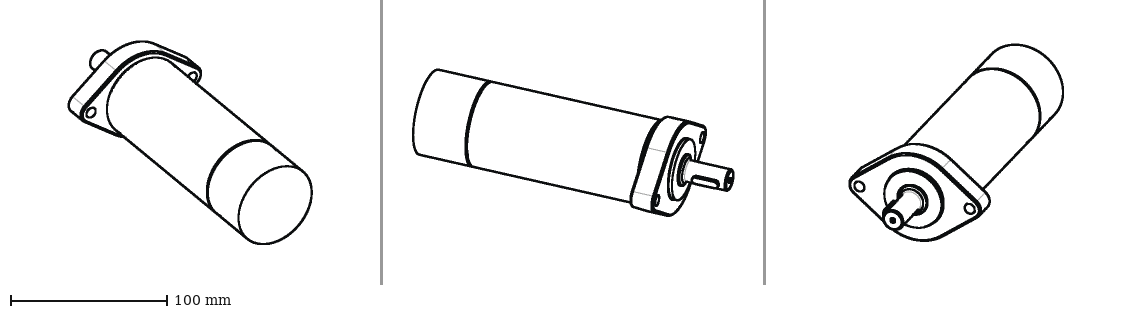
import cadquery as cq
import math

overall_length = 207.3

shaft_radius = 14.0 / 2
shaft_chamfer = 0.8
centre_hole_radius = 1.7
centre_drill_radius = 0.6
centre_drill_depth = 3.1

collar_start = 28.5
collar_fillet = 1.2
collar_step = 30.9
collar_rim_radius = 10.4
collar_radius = 20.0 / 2
pilot_start = 32.0
pilot_radius = 40.0 / 2
pilot_foot_height = 0.5

flange_start = 34.6
flange_thickness = 16.0
flange_height = 62.0
flange_width = 92.0
flange_tip_radius = 7.5
flange_chamfer = 1.0
mount_hole_diameter = 7.0

neck_radius = 50.4 / 2
body_start = 52.9
body_radius = 56.0 / 2
groove_start = 170.0
groove_width = 1.2

key_start = 4.8
key_length = 18.0
key_width = 5.0
key_top = 9.0

flange_end = flange_start + flange_thickness
hole_offset = flange_width / 2 - flange_tip_radius


def cylinder(start, end, radius):
    """Cylinder on the X axis between two stations."""
    return cq.Workplane("YZ", origin=(start, 0, 0)).circle(radius).extrude(end - start)


def make_shaft():
    shaft = cylinder(0, flange_start, shaft_radius).faces("<X").chamfer(shaft_chamfer)
    centre = (
        cq.Workplane("XY")
        .moveTo(0, 0)
        .lineTo(0, centre_hole_radius)
        .lineTo(centre_hole_radius - centre_drill_radius, centre_drill_radius)
        .lineTo(centre_drill_depth, centre_drill_radius)
        .lineTo(centre_drill_depth, 0)
        .close()
        .revolve(360, (0, 0, 0), (1, 0, 0))
    )
    return shaft.cut(centre)


def make_collar_and_pilot():
    """Filleted and tapered collar, pilot disc and flared pilot foot as one turned profile."""
    inner_radius = shaft_radius / 2
    fillet_end = collar_start + collar_fillet
    fillet_mid_x = collar_start + collar_fillet * math.sin(math.pi / 4)
    fillet_mid_radius = shaft_radius + collar_fillet * (1 - math.cos(math.pi / 4))
    return (
        cq.Workplane("XY")
        .moveTo(collar_start, inner_radius)
        .lineTo(collar_start, shaft_radius)
        .threePointArc((fillet_mid_x, fillet_mid_radius), (fillet_end, shaft_radius + collar_fillet))
        .lineTo(collar_step, collar_radius)
        .lineTo(collar_step, collar_rim_radius)
        .lineTo(pilot_start, collar_rim_radius)
        .lineTo(pilot_start, pilot_radius)
        .lineTo(flange_start - pilot_foot_height, pilot_radius)
        .lineTo(flange_start, pilot_radius + pilot_foot_height)
        .lineTo(flange_start, inner_radius)
        .close()
        .revolve(360, (0, 0, 0), (1, 0, 0))
    )


def make_flange():
    """Central disc and two rounded tips joined by tangent straight sides."""
    disc_radius = flange_height / 2
    tangent_angle = math.acos((disc_radius - flange_tip_radius) / hole_offset)
    cos_tangent = math.cos(tangent_angle)
    sin_tangent = math.sin(tangent_angle)
    disc_y = disc_radius * cos_tangent
    disc_z = disc_radius * sin_tangent
    tip_y = hole_offset + flange_tip_radius * cos_tangent
    tip_z = flange_tip_radius * sin_tangent
    flange = (
        cq.Workplane("YZ", origin=(flange_start, 0, 0))
        .moveTo(-disc_y, disc_z)
        .threePointArc((0, disc_radius), (disc_y, disc_z))
        .lineTo(tip_y, tip_z)
        .threePointArc((flange_width / 2, 0), (tip_y, -tip_z))
        .lineTo(disc_y, -disc_z)
        .threePointArc((0, -disc_radius), (-disc_y, -disc_z))
        .lineTo(-tip_y, -tip_z)
        .threePointArc((-flange_width / 2, 0), (-tip_y, tip_z))
        .close()
        .extrude(flange_thickness)
        .faces("<X or >X")
        .chamfer(flange_chamfer)
    )
    holes = (
        cq.Workplane("YZ", origin=(flange_start, 0, 0))
        .pushPoints([(-hole_offset, 0), (hole_offset, 0)])
        .circle(mount_hole_diameter / 2)
        .extrude(flange_thickness)
    )
    return flange.cut(holes)


def make_body():
    """Motor housing and rear cover on a core that shows at the neck and the groove."""
    core = cylinder(flange_end, overall_length, neck_radius)
    housing = cylinder(body_start, groove_start, body_radius)
    cover = cylinder(groove_start + groove_width, overall_length, body_radius)
    return core.union(housing).union(cover)


def make_key():
    """Round-ended key seated in the shaft."""
    return (
        cq.Workplane("XZ", origin=(key_start + key_length / 2, key_top, 0))
        .slot2D(key_length, key_width)
        .extrude(key_top - shaft_radius / 2)
    )


result = (
    make_shaft()
    .union(make_key())
    .union(make_collar_and_pilot())
    .union(make_flange())
    .union(make_body())
)